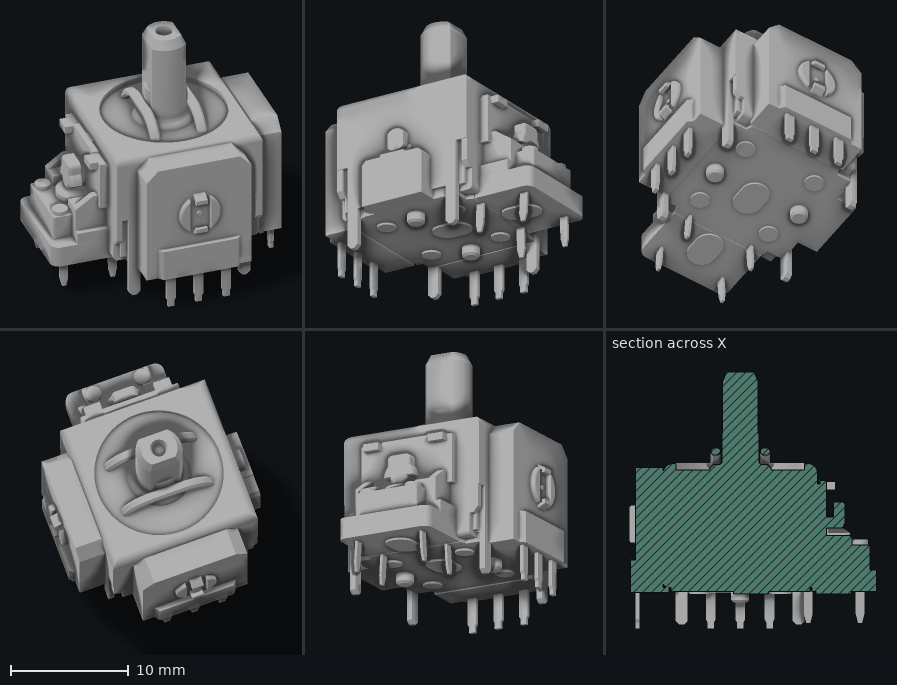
import cadquery as cq
import math


body_half = 6.57
body_top = 10.94
body_round = 0.79
sheet = 0.52
axle_z = 5.75
axle_radius = 1.01


def box(x0, x1, y0, y1, z0, z1):
    """Axis-aligned block given by its limits."""
    return cq.Workplane("XY").box(x1 - x0, y1 - y0, z1 - z0, centered=False).translate((x0, y0, z0))


def post(x, y, radius, z0, z1):
    """Vertical cylinder between two heights."""
    return cq.Workplane("XY").center(x, y).circle(radius).extrude(z1 - z0).translate((0, 0, z0))


def plate_x(points, x0, x1):
    """Outline of (y, z) points extruded from x0 to x1."""
    return cq.Workplane("YZ").polyline(points).close().extrude(x1 - x0).translate((x0, 0, 0))


def plate_y(points, y0, y1):
    """Outline of (x, z) points extruded from y0 to y1."""
    return cq.Workplane("XZ").polyline(points).close().extrude(y0 - y1).translate((0, y0, 0))


def turned(points):
    """Outline of (radius, z) points turned about the Z axis."""
    return cq.Workplane("XZ").polyline(points).close().revolve(360, (0, 0, 0), (0, 1, 0))


recess_radius = 5.51
recess_floor = 10.4
window_top = 4.77
window_edge = 5.48
wall_bottom = 0.79
panel_corner_top = 2.79
panel_corner_bottom = 2.26
panel_half = 5.67
panel_inset = 0.06
lip_bottom = 0.36
lip_round = 0.4
leg_inner = 4.47
leg_bottom = -2.81
leg_chamfer = 0.32


def cover():
    core_half = body_half - sheet
    lip_top = lip_bottom + sheet
    upper = box(-body_half, body_half, -body_half, body_half, window_top, body_top)
    upper = upper.faces(">Z").edges().fillet(body_round)
    upper = upper.cut(post(0, 0, recess_radius, recess_floor, body_top))
    core = box(-core_half, core_half, -core_half, core_half, lip_top, window_top)
    walls = box(-body_half, body_half, -window_edge, window_edge, wall_bottom, window_top)
    panel_edge = body_half - panel_inset
    panel_outline = [
        (-panel_edge, window_top), (-panel_edge, panel_corner_top), (-core_half, panel_corner_bottom),
        (-panel_half, panel_corner_bottom), (-panel_half, lip_bottom), (panel_half, lip_bottom),
        (panel_half, panel_corner_bottom), (core_half, panel_corner_bottom),
        (panel_edge, panel_corner_top), (panel_edge, window_top),
    ]
    panels = plate_y(panel_outline, -body_half, body_half)
    panels = panels.faces("<Z").edges("|X").fillet(lip_round)
    inner_gap = box(-body_half, body_half, -core_half, core_half, lip_top, window_top)
    return upper.union(core).union(walls).union(panels.cut(inner_gap))


def cover_legs():
    legs = cq.Workplane("XY")
    for x0 in (-body_half, body_half - sheet):
        for y0 in (-window_edge, leg_inner):
            leg = box(x0, x0 + sheet, y0, y0 + window_edge - leg_inner, leg_bottom, window_top)
            legs = legs.add(leg.faces("<Z").edges("|X").chamfer(leg_chamfer))
    return legs.combine()


foot_half_x = body_half - sheet
foot_half_y = 5.3
side_pad_face = 6.2
side_pad_half = 4.25
end_pad_face = 5.93
end_pad_half = 4.63
pad_slant = 0.22
foot_disc_radius = 0.82
foot_disc_place = 3.5
foot_disc_height = 0.2
foot_boss_width = 2.52
foot_boss_length = 3.6
foot_boss_y = -0.9
peg_place = 4.28
peg_radius = 0.765
peg_length = 0.92
peg_chamfer = 0.2


def foot_boss(y):
    """Round-ended pad below z = 0, long in Y."""
    slot = cq.Workplane("XY").center(0, y).slot2D(foot_boss_length, foot_boss_width, 90)
    return slot.extrude(foot_disc_height + wall_bottom).translate((0, 0, -foot_disc_height))


def base():
    foot = box(-foot_half_x, foot_half_x, -foot_half_y, foot_half_y, 0, panel_corner_top)
    side_pad = [
        (0, -side_pad_half), (foot_half_x, -side_pad_half), (side_pad_face, pad_slant - side_pad_half),
        (side_pad_face, side_pad_half - pad_slant), (foot_half_x, side_pad_half), (0, side_pad_half),
    ]
    end_pad = [
        (-end_pad_half, 0), (-end_pad_half, foot_half_y), (pad_slant - end_pad_half, end_pad_face),
        (end_pad_half - pad_slant, end_pad_face), (end_pad_half, foot_half_y), (end_pad_half, 0),
    ]
    for outline, plane in ((side_pad, "YZ"), (end_pad, "XZ")):
        pad = cq.Workplane("XY").polyline(outline).close().extrude(panel_corner_top)
        foot = foot.union(pad).union(pad.mirror(plane))
    for sx in (-1, 1):
        peg = post(sx * peg_place, 0, peg_radius, -peg_length, wall_bottom)
        foot = foot.union(peg.faces("<Z").chamfer(peg_chamfer))
        for sy in (-1, 1):
            place = (sx * foot_disc_place, sy * foot_disc_place)
            foot = foot.union(post(*place, foot_disc_radius, -foot_disc_height, wall_bottom))
    return foot.union(foot_boss(foot_boss_y))


stick_radius = 2.0
stick_flat = 1.53
stick_top = 18.73
tip_height = 0.81
tip_inset = 0.43
tip_flat_inset = 0.35
tip_hole_radius = 0.75
tip_hole_depth = 0.6
tip_hole_floor_radius = 0.58
collar_radius = 2.77
collar_mid = 2.37
collar_bulge = 0.06
collar_top = 11.22
key_half = 0.92
key_top = 13.47
key_crown = 0.29
key_rise = 0.19


def stick():
    shoulder = stick_top - tip_height
    shank = turned([
        (0, recess_floor), (stick_radius, recess_floor), (stick_radius, shoulder),
        (stick_radius - tip_inset, stick_top), (0, stick_top),
    ])
    flats = [
        (-stick_flat, recess_floor), (-stick_flat, shoulder), (tip_flat_inset - stick_flat, stick_top),
        (stick_flat - tip_flat_inset, stick_top), (stick_flat, shoulder), (stick_flat, recess_floor),
    ]
    shank = shank.intersect(plate_x(flats, -stick_radius, stick_radius))
    hole_floor = stick_top - tip_hole_depth
    hole = turned([
        (0, stick_top), (tip_hole_radius, stick_top), (tip_hole_floor_radius, hole_floor), (0, hole_floor),
    ])
    hole = hole.union(cq.Workplane("XY").sphere(tip_hole_floor_radius).translate((0, 0, hole_floor)))
    return shank.cut(hole)


def collar():
    """Ring around the stick foot whose concave flare follows the round sides and the flats."""
    flare = collar_mid - stick_radius
    flare_z = collar_top - flare
    diagonal = math.sqrt(0.5)
    bow = collar_bulge * diagonal
    face_mid = ((collar_radius + collar_mid) / 2 + bow, (recess_floor + flare_z) / 2 + bow)
    flare_mid = (collar_mid - flare * diagonal, collar_top - flare * diagonal)
    ring = (
        cq.Workplane("XZ")
        .moveTo(0, recess_floor)
        .lineTo(collar_radius, recess_floor)
        .threePointArc(face_mid, (collar_mid, flare_z))
        .threePointArc(flare_mid, (stick_radius, collar_top))
        .lineTo(0, collar_top)
        .close()
        .revolve(360, (0, 0, 0), (0, 1, 0))
    )
    flare_end = stick_flat + flare
    groove = cq.Workplane("YZ").center(flare_end, collar_top).circle(flare)
    groove = groove.extrude(collar_radius, both=True)
    outside = box(-collar_radius, collar_radius, flare_end, collar_radius, flare_z, collar_top)
    relief = groove.union(outside)
    return ring.cut(relief).cut(relief.mirror("XZ"))


def stick_keys():
    swell_radius = (key_half ** 2 + key_rise ** 2) / (2 * key_rise)
    axis_y = stick_flat + key_rise - swell_radius
    crown_z = key_top + key_crown
    swell = turned([
        (0, recess_floor), (swell_radius, recess_floor), (swell_radius, key_top),
        (swell_radius - key_rise, crown_z), (0, crown_z),
    ]).translate((0, axis_y, 0))
    key = swell.intersect(box(-key_half, key_half, 0, stick_flat + key_rise, recess_floor, crown_z))
    return key.union(key.mirror("XZ"))


hoop_top = 12.27
hoop_flat_half = 1.27
hoop_bend = 3.16
hoop_thickness = 0.66
hoop_inner_y = 1.68
hoop_outer_y = 2.53
hoop_chamfer = 0.2
hoop_embed = 0.3


def hoops():
    foot_z = recess_floor - hoop_embed
    centre_z = hoop_top - hoop_bend

    def arc_ends(radius):
        """End of a bend at foot height and the point midway along it."""
        end_angle = math.asin((foot_z - centre_z) / radius)
        mid_angle = (end_angle + math.pi / 2) / 2
        end = (hoop_flat_half + radius * math.cos(end_angle), foot_z)
        mid = (hoop_flat_half + radius * math.cos(mid_angle), centre_z + radius * math.sin(mid_angle))
        return end, mid

    def mirrored(point):
        return (-point[0], point[1])

    inner_bend = hoop_bend - hoop_thickness
    end, mid = arc_ends(hoop_bend)
    inner_end, inner_mid = arc_ends(inner_bend)
    hoop = (
        cq.Workplane("XZ")
        .moveTo(-hoop_flat_half, hoop_top)
        .lineTo(hoop_flat_half, hoop_top)
        .threePointArc(mid, end)
        .lineTo(*inner_end)
        .threePointArc(inner_mid, (hoop_flat_half, hoop_top - hoop_thickness))
        .lineTo(-hoop_flat_half, hoop_top - hoop_thickness)
        .threePointArc(mirrored(inner_mid), mirrored(inner_end))
        .lineTo(*mirrored(end))
        .threePointArc(mirrored(mid), (-hoop_flat_half, hoop_top))
        .close()
        .extrude(hoop_outer_y - hoop_inner_y)
        .translate((0, -hoop_inner_y, 0))
    )
    hoop = hoop.faces("<Y or >Y").edges().chamfer(hoop_chamfer)
    return hoop.union(hoop.mirror("XZ"))


pot_half = 4.73
pot_top = 10.59
pot_bottom = -0.07
pot_corner = 1.03
pot_face = 8.93
pot_tongue_top = 0.4
pot_plate_half = 3.69
pot_plate_face = 9.37
pot_plate_top = 2.73
pot_plate_slant = 0.35
hub_radius = 1.83
hub_slot_half = 0.93
hub_face = 9.41
hub_round = 0.2
hub_pin_radius = 0.2
hub_pin_length = 0.2
prong_half = 0.52
prong_tip = 9.67
pin_pitch = 2.5
pin_inner = 8.55
pin_thickness = 0.34
pin_half = 0.41
pin_tip_half = 0.28
pin_shoulder = -2.37
pin_neck = -2.61
pin_bottom = -3.12


def potentiometer():
    """Potentiometer on the +X side."""
    housing = box(body_half, pot_face, -pot_half, pot_half, pot_bottom, pot_top)
    housing = housing.edges("|X and >Z").chamfer(pot_corner)
    tongue = box(body_half - sheet, pot_face, -pot_half, pot_half, pot_bottom, pot_tongue_top)
    housing = housing.union(tongue)
    plate_outline = [
        (pot_face, -pot_plate_half), (pot_plate_face, -pot_plate_half + pot_plate_slant),
        (pot_plate_face, pot_plate_half - pot_plate_slant), (pot_face, pot_plate_half),
    ]
    plate = cq.Workplane("XY").polyline(plate_outline).close().extrude(pot_plate_top - pot_bottom)
    housing = housing.union(plate.translate((0, 0, pot_bottom)))
    return housing.union(pot_hub()).union(pot_prongs()).union(pot_pins())


def pot_hub():
    face = cq.Workplane("YZ").center(0, axle_z)
    disc = face.circle(hub_radius).extrude(hub_face - pot_face).translate((pot_face, 0, 0))
    disc = disc.faces(">X").edges().fillet(hub_round)
    slot = box(pot_face, hub_face, -hub_slot_half, hub_slot_half, axle_z - hub_radius, axle_z + hub_radius)
    pin = face.circle(hub_pin_radius).extrude(hub_pin_length).translate((pot_face, 0, 0))
    return disc.cut(slot).union(pin)


def pot_prongs():
    root_outer = 1.96
    root_inner = 1.6
    tip_outer = 1.58
    tip_inner = 1.2
    hook_root = 1.45
    hook_x = 9.35
    outline = [
        (pot_face, root_outer), (prong_tip, tip_outer), (prong_tip, tip_inner),
        (hook_x, tip_inner), (hook_x, hook_root), (pot_face, root_inner),
    ]
    prong = plate_y(outline, -prong_half, prong_half)
    return prong.union(prong.mirror("XY")).translate((0, 0, axle_z))


def pot_pins():
    outline = [
        (-pin_half, 0), (-pin_half, pin_shoulder), (-pin_tip_half, pin_neck), (-pin_tip_half, pin_bottom),
        (pin_tip_half, pin_bottom), (pin_tip_half, pin_neck), (pin_half, pin_shoulder), (pin_half, 0),
    ]
    pin = plate_x(outline, pin_inner, pin_inner + pin_thickness)
    pins = cq.Workplane("XY")
    for step in (-1, 0, 1):
        pins = pins.add(pin.translate((0, step * pin_pitch, 0)))
    return pins.combine()


bearing_face = -8.12
bearing_half = 3.0
bearing_top = 4.17
bearing_corner = 0.37
cradle_half = 1.18
cradle_sill = 4.39
cradle_top = 5.25
cradle_face = -6.97
cradle_clearance = 0.05
axle_end = -7.56
axle_flat = 0.81


def bearing():
    wall = -body_half + sheet
    block = box(bearing_face, wall, -bearing_half, bearing_half, 0, bearing_top)
    block = block.edges("|X and >Z").chamfer(bearing_corner)
    block = block.union(box(bearing_face, wall, -cradle_half, cradle_half, 0, cradle_sill))
    block = block.union(box(cradle_face, wall, -cradle_half, cradle_half, 0, cradle_top))
    axis = cq.Workplane("YZ").center(0, axle_z)
    clearance = axis.circle(axle_radius + cradle_clearance).extrude(body_half + bearing_face)
    block = block.cut(clearance.translate((-body_half, 0, 0)))
    axle = axis.circle(axle_radius).extrude(wall - axle_end).translate((axle_end, 0, 0))
    flats = box(axle_end, wall, -axle_flat, axle_flat, axle_z - axle_radius, axle_z + axle_radius)
    return block.union(axle.intersect(flats))


frame_half = 4.4
frame_face = -7.33
frame_bottom = 5.04
frame_top = 9.35
crest_half = 2.42
crest_top = 9.51
tab_half = 3.88
tab_front = -8.06
tab_bottom = 8.71
skirt_half = 3.88
skirt_inner = 1.93
skirt_front = -9.35
skirt_top = 4.98
sill_top = 2.91
groove_half = 0.74
groove_bottom = 9.2
groove_front = -6.77
rib_width = 0.68
rib_top = 6.04
rib_crest = -7.8


def frame():
    back = -body_half + sheet
    part = box(-frame_half, frame_half, frame_face, back, frame_bottom, frame_top)
    part = part.union(box(-crest_half, crest_half, frame_face, back, frame_bottom, crest_top))
    part = part.union(box(-frame_half, frame_half, skirt_front, back, 0, sill_top))
    part = part.union(box(-skirt_half, skirt_half, frame_face, back, 0, frame_bottom))
    for side in (-1, 1):
        tab_x = sorted((side * crest_half, side * tab_half))
        skirt_x = sorted((side * skirt_inner, side * skirt_half))
        rib_x = sorted((side * (skirt_half - rib_width), side * skirt_half))
        rib_outline = [
            (back, 0), (back, rib_top), (rib_crest, rib_top), (skirt_front, skirt_top), (skirt_front, 0),
        ]
        groove_x = sorted((side * groove_half, side * frame_half))
        part = part.cut(box(*groove_x, groove_front, -body_half, groove_bottom, crest_top))
        part = part.union(box(*tab_x, tab_front, frame_face, tab_bottom, frame_top))
        part = part.union(box(*skirt_x, skirt_front, back, 0, skirt_top))
        part = part.union(plate_x(rib_outline, *rib_x))
    return part


switch_half = 4.42
switch_front = -11.6
switch_top = 1.87
switch_round = 0.78
case_half = 2.99
case_front = -11.03
case_top = 4.03
case_round = 0.2
rivet_x = 2.19
rivet_y = -10.18
rivet_radius = 0.7
rivet_top = 4.44
rivet_chamfer = 0.05
button_y = -7.94
button_radius = 1.76
button_top = 4.84
button_chamfer = 0.2
switch_pin_half = 0.37
switch_pin_thickness = 0.23
switch_pin_tip_half = 0.18
switch_pin_taper = -1.9
switch_pin_bottom = -2.66
switch_pin_root = 3.0
switch_pin_lean = 0.16
switch_pin_rows = (-10.2, -5.8)


def switch():
    back = -body_half + sheet
    part = box(-switch_half, switch_half, switch_front, back, 0, switch_top)
    part = part.edges("|Z and <Y").fillet(switch_round)
    case = box(-case_half, case_half, case_front, back, 0, case_top)
    part = part.union(case.edges("|Z and <Y").fillet(case_round))
    for side in (-1, 1):
        rivet = post(side * rivet_x, rivet_y, rivet_radius, case_top, rivet_top)
        part = part.union(rivet.faces(">Z").chamfer(rivet_chamfer))
    button = post(0, button_y, button_radius, 0, button_top)
    part = part.union(button.faces(">Z").chamfer(button_chamfer))
    return part.union(foot_boss(button_y))


def switch_pins():
    lean_outline = [
        (switch_pin_root, 0), (switch_pin_root + switch_pin_thickness, 0),
        (switch_pin_root + switch_pin_thickness + switch_pin_lean, switch_pin_bottom),
        (switch_pin_root + switch_pin_lean, switch_pin_bottom),
    ]
    tip_outline = [
        (-switch_pin_half, 0), (-switch_pin_half, switch_pin_taper),
        (-switch_pin_tip_half, switch_pin_bottom), (switch_pin_tip_half, switch_pin_bottom),
        (switch_pin_half, switch_pin_taper), (switch_pin_half, 0),
    ]
    pin = plate_y(lean_outline, -switch_pin_half, switch_pin_half)
    pin = pin.intersect(plate_x(tip_outline, 0, frame_half))
    pins = cq.Workplane("XY")
    for y in switch_pin_rows:
        pins = pins.add(pin.translate((0, y, 0))).add(pin.mirror("YZ").translate((0, y, 0)))
    return pins.combine()


head_front = -8.93
head_back = -7.89
head_half = 1.1
head_top = 7.71
head_corner = 0.46
head_waist = 6.69
head_skirt_half = 1.47
head_skirt_mid_half = 1.37
head_round = 0.3
toe_radius = 0.85


def actuator():
    """Half-round axle end with a bell-shaped head and a round toe that presses the button."""
    back = -body_half + sheet
    axis = cq.Workplane("XZ").center(0, axle_z)
    axle = axis.circle(axle_radius).extrude(back - head_back).translate((0, back, 0))
    axle = axle.intersect(box(-axle_radius, axle_radius, head_back, back, axle_z, axle_z + axle_radius))
    skirt_mid = (head_skirt_mid_half, (head_waist + axle_z) / 2)
    depth = head_back - head_front
    head = (
        cq.Workplane("XZ")
        .moveTo(-head_half, head_waist)
        .lineTo(-head_half, head_top)
        .lineTo(head_half, head_top)
        .lineTo(head_half, head_waist)
        .threePointArc(skirt_mid, (head_skirt_half, axle_z))
        .lineTo(-head_skirt_half, axle_z)
        .threePointArc((-skirt_mid[0], skirt_mid[1]), (-head_half, head_waist))
        .close()
        .extrude(depth)
        .edges("|Y and >Z")
        .fillet(head_corner)
    )
    head = head.translate((0, head_back, 0))
    head = head.faces("<Y").edges("not <Z").fillet(head_round)
    toe = axis.circle(toe_radius).extrude(back - head_front).translate((0, back, 0))
    toe = toe.faces("<Y").edges().fillet(head_round)
    return axle.union(head).union(toe)


right_pot = potentiometer()
back_pot = right_pot.rotate((0, 0, 0), (0, 0, 1), 90)

result = cover()
for component in (
    cover_legs(), base(), collar(), stick(), stick_keys(), hoops(), right_pot, back_pot,
    bearing(), frame(), switch(), switch_pins(), actuator(),
):
    result = result.union(component)